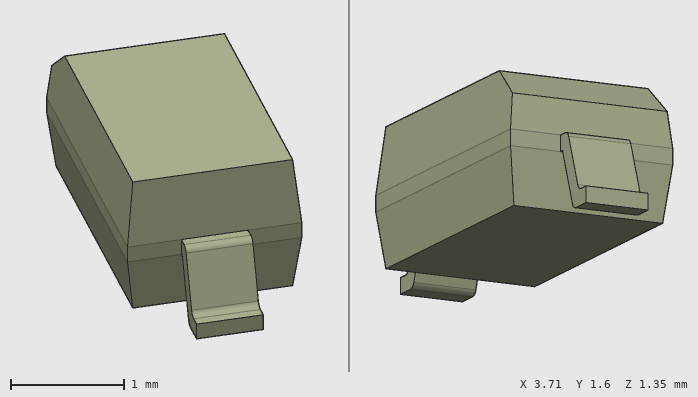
import cadquery as cq
import math

total_length = 3.71
total_height = 1.35

body_length = 2.695
body_width = 1.6
body_bottom = 0.055
band_bottom = 0.58
band_top = 0.73
end_inset = 0.065
bevel_top_x = -0.987
bevel_drop = 0.28

lead_width = 0.612
lead_thickness = band_top - band_bottom
foot_length = 0.252
shoulder_length = 0.037
bend_radius = 0.075


def tapered_half(start_z, height):
    """Half of the moulding, leaning in evenly from the band to its outer face."""
    return (
        cq.Workplane("XY", origin=(0, 0, start_z))
        .rect(body_length, body_width)
        .workplane(offset=height)
        .rect(body_length - 2 * end_inset, body_width - 2 * end_inset)
        .loft(ruled=True)
    )


def make_body():
    """Moulded body: a straight band, two tapered halves and a bevel on the -X end."""
    upper_height = total_height - band_top
    band = (
        cq.Workplane("XY", origin=(0, 0, band_bottom))
        .rect(body_length, body_width)
        .extrude(lead_thickness)
    )
    upper = tapered_half(band_top, upper_height)
    lower = tapered_half(band_bottom, body_bottom - band_bottom)

    bevel_bottom_z = total_height - bevel_drop
    wall_lean = end_inset * (bevel_bottom_z - band_top) / upper_height
    bevel_bottom_x = -body_length / 2 + wall_lean
    slope = bevel_drop / (bevel_top_x - bevel_bottom_x)
    overrun = end_inset
    left_x = bevel_bottom_x - overrun
    right_x = bevel_top_x + overrun
    bevel = (
        cq.Workplane("XZ")
        .moveTo(left_x, bevel_bottom_z - overrun * slope)
        .lineTo(right_x, total_height + overrun * slope)
        .lineTo(left_x, total_height + overrun * slope)
        .close()
        .extrude(body_width / 2, both=True)
    )
    return band.union(upper).union(lower).cut(bevel)


def make_lead():
    """Gull-wing lead on the -X end, of even thickness, with rounded bends."""
    tip_x = -total_length / 2
    root_x = -body_length / 2
    heel_x = tip_x + foot_length
    knee_x = root_x - shoulder_length
    leg_angle = math.atan2(band_bottom, knee_x - heel_x)
    corner_shift = lead_thickness * math.tan(leg_angle / 2)
    lead = (
        cq.Workplane("XZ")
        .moveTo(tip_x, 0)
        .lineTo(heel_x, 0)
        .lineTo(knee_x, band_bottom)
        .lineTo(root_x, band_bottom)
        .lineTo(root_x, band_top)
        .lineTo(knee_x - corner_shift, band_top)
        .lineTo(heel_x - corner_shift, lead_thickness)
        .lineTo(tip_x, lead_thickness)
        .close()
        .extrude(lead_width / 2, both=True)
    )
    rounded_corners = [
        (heel_x, 0),
        (knee_x - corner_shift, band_top),
        (heel_x - corner_shift, lead_thickness),
    ]
    for x, z in rounded_corners:
        corner_edge = cq.selectors.NearestToPointSelector((x, 0, z))
        lead = lead.edges("|Y").edges(corner_edge).fillet(bend_radius)
    return lead


body = make_body()
left_lead = make_lead()
leads = []
for turn in (0, 180):
    leads.append(left_lead.rotate((0, 0, 0), (0, 0, 1), turn))

result = cq.Compound.makeCompound([body.val(), *[lead.val() for lead in leads]])